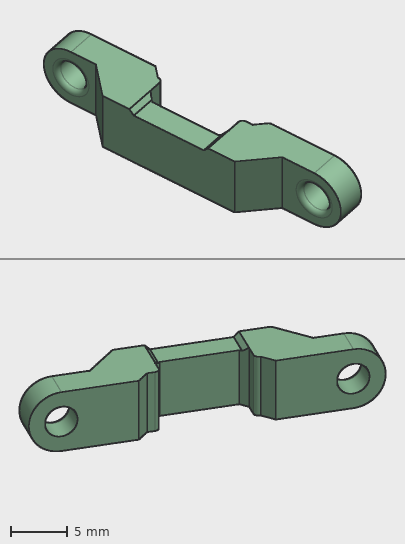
import cadquery as cq

length = 33.0
height = 6.0
depth = 6.0
back = depth / 2
front = -depth / 2

lug_front = 0.0
lug_radius = height / 2
hole_spacing = length - 2 * lug_radius
hole_diameter = 3.0
hole_mouth_radius = 0.5

block_left = -7.7
block_right = 6.95
slope = lug_front - front

notch_left = -4.72
notch_right = 4.03
notch_web = 2.45
notch_floor = front + notch_web
floor_bevel = 0.7
left_shoulder_width = 0.53
right_shoulder_width = 1.22
shoulder_depth = 1.1
mouth_left = notch_left - left_shoulder_width
mouth_right = notch_right + right_shoulder_width
shoulder_y = back - shoulder_depth
shoulder_round = 0.5

relief_depth = 0.5


def make_body():
    """Extrude the plan outline and round the ends of the lugs."""
    plan = [
        (-length / 2, back),
        (-length / 2, lug_front),
        (block_left - slope, lug_front),
        (block_left, front),
        (block_right, front),
        (block_right + slope, lug_front),
        (length / 2, lug_front),
        (length / 2, back),
        (mouth_right + shoulder_depth, back),
        (mouth_right, shoulder_y),
        (notch_right, shoulder_y),
        (notch_right, notch_floor + floor_bevel),
        (notch_right - floor_bevel, notch_floor),
        (notch_left + floor_bevel, notch_floor),
        (notch_left, notch_floor + floor_bevel),
        (notch_left, shoulder_y),
        (mouth_left, shoulder_y),
        (mouth_left - shoulder_depth, back),
    ]
    body = (
        cq.Workplane("XY")
        .workplane(offset=-height / 2)
        .polyline(plan)
        .close()
        .extrude(height)
    )
    for x in (notch_left, notch_right):
        body = body.edges(cq.NearestToPointSelector((x, shoulder_y, 0))).fillet(shoulder_round)
    rounded_bar = (
        cq.Workplane("XZ")
        .slot2D(length, height)
        .extrude(depth / 2, both=True)
    )
    return body.intersect(rounded_bar)


def make_hole(x):
    """Through hole whose front mouth flares out along a quarter-round."""
    radius = hole_diameter / 2
    mouth_radius = radius + hole_mouth_radius
    arc_centre_y = lug_front + hole_mouth_radius
    diagonal = hole_mouth_radius * 0.5**0.5
    return (
        cq.Workplane("XY")
        .moveTo(0, lug_front)
        .lineTo(mouth_radius, lug_front)
        .threePointArc((mouth_radius - diagonal, arc_centre_y - diagonal), (radius, arc_centre_y))
        .lineTo(radius, back)
        .lineTo(0, back)
        .close()
        .revolve(360, (0, 0, 0), (0, 1, 0))
        .translate((x, 0, 0))
    )


def make_top_relief():
    """Trapezoidal strip removed from the top between the notch walls."""
    top = height / 2
    return (
        cq.Workplane("XZ")
        .polyline([
            (notch_left, top),
            (notch_left + relief_depth, top - relief_depth),
            (notch_right - relief_depth, top - relief_depth),
            (notch_right, top),
        ])
        .close()
        .extrude(depth / 2, both=True)
    )


result = make_body().cut(make_top_relief())
for side in (-1, 1):
    result = result.cut(make_hole(side * hole_spacing / 2))